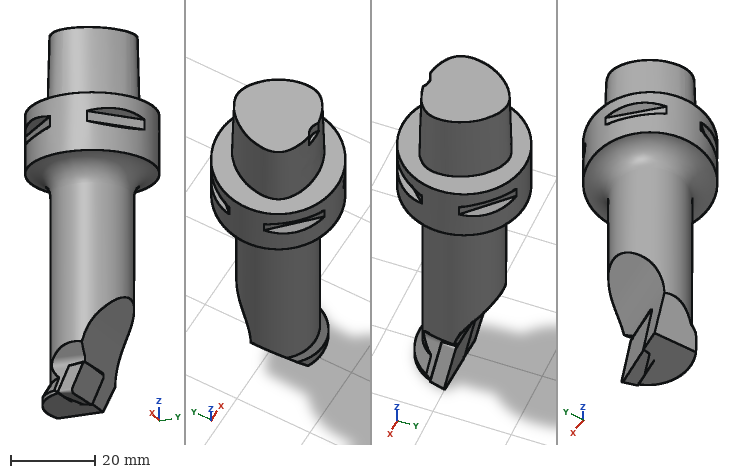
import cadquery as cq
import math


TENON_LENGTH = 19.0
TENON_MEAN_RADIUS = 11.0
LOBE_COUNT = 3
LOBE_PITCH = 360 / LOBE_COUNT
LOBE_HEIGHT = 0.7
TENON_TAPER = 1 / 40
LOBE_HALF_ANGLE = 23.0
SPLINE_STEPS = 6

KEY_SLOT_RADIUS = 3.7
KEY_SLOT_DEPTH = 3.3
KEY_SLOT_BOTTOM_Y = -8.9

COLLAR_RADIUS = 16.0
COLLAR_HEIGHT = 14.7
GROOVE_COUNT = 4
GROOVE_CENTER_Z = -6.0
GROOVE_FLOOR_DISTANCE = 14.15
GROOVE_FLOOR_WIDTH = 2.5
GROOVE_WALL_ANGLE = 30.0

SHANK_RADIUS = 10.0
BLEND_RADIUS = COLLAR_RADIUS - SHANK_RADIUS

FLARE_TOP_Z = -69.0
FLARE_ANGLE = 30.0
HEAD_RADIUS = 11.5
HEAD_OFFSET_X = 1.0

TIP_X = 13.0
TIP_Z = -75.0
RAKE_SLOPE_X = 0.068
RAKE_SLOPE_Z = 0.049

INSERT_ANGLE = 55.0
INSERT_INSCRIBED_DIAMETER = 9.525
INSERT_THICKNESS = 3.97
NOSE_RADIUS = 0.8
CLEARANCE_ANGLE = 7.0
END_EDGE_ANGLE = 3.0
SIDE_EDGE_ANGLE = END_EDGE_ANGLE + INSERT_ANGLE

CHIP_FLAT_LENGTH = 10.0
CHIP_ARC_RADIUS = 20.0
CHIP_RUNOUT_ANGLE = 36.0

NOTCH_ROOT_RADIUS = 2.2
NOTCH_WALL_ANGLE = 45.0
NOTCH_TOP_Z = -60.9
FLANK_INSET = 0.9

BEVEL_ANGLE = 35.0
BEVEL_TOP_Z = -65.5
END_FACE_Z = -74.15

REACH = 40.0


def turned(length, degrees):
    """The vector of the given length at an angle from a plane's local X."""
    return cq.Vector(length * math.cos(math.radians(degrees)), length * math.sin(math.radians(degrees)))


RAKE_U = cq.Vector(-1, RAKE_SLOPE_X, 0).normalized()
RAKE_NORMAL = cq.Vector(RAKE_SLOPE_X, 1, -RAKE_SLOPE_Z).normalized()
RAKE_V = RAKE_NORMAL.cross(RAKE_U)
TIP = cq.Vector(TIP_X, 0, TIP_Z)
RAKE_PLANE = cq.Plane(TIP, RAKE_U, RAKE_NORMAL)
CHIP_PLANE = cq.Plane(TIP, RAKE_V, RAKE_U)
NOSE_CENTER = cq.Vector(NOSE_RADIUS, NOSE_RADIUS)


def tenon_point(mean_radius, z, degrees):
    """The outline point whose normal is turned by the given angle from the +Y lobe."""
    angle = math.radians(degrees)
    support = mean_radius + LOBE_HEIGHT * math.cos(LOBE_COUNT * angle)
    support_rate = -LOBE_COUNT * LOBE_HEIGHT * math.sin(LOBE_COUNT * angle)
    x = -support * math.sin(angle) - support_rate * math.cos(angle)
    y = support * math.cos(angle) - support_rate * math.sin(angle)
    return cq.Vector(x, y, z)


def tenon_outline(mean_radius, z):
    """Closed outline of constant width, with an edge for each lobe and each flank."""
    edges = []
    for i in range(LOBE_COUNT):
        lobe = i * LOBE_PITCH
        ends = (lobe - LOBE_HALF_ANGLE, lobe + LOBE_HALF_ANGLE, lobe + LOBE_PITCH - LOBE_HALF_ANGLE)
        for start, end in zip(ends, ends[1:]):
            step = (end - start) / SPLINE_STEPS
            points = [tenon_point(mean_radius, z, start + n * step) for n in range(SPLINE_STEPS + 1)]
            directions = [turned(1, start + 180), turned(1, end + 180)]
            edges.append(cq.Edge.makeSpline(points, tangents=directions))
    return cq.Wire.assembleEdges(edges)


def make_tenon():
    top_radius = TENON_MEAN_RADIUS - TENON_TAPER * TENON_LENGTH
    base = tenon_outline(TENON_MEAN_RADIUS, 0)
    top = tenon_outline(top_radius, TENON_LENGTH)
    tenon = cq.Workplane(cq.Solid.makeLoft([base, top], True))
    key_slot = (
        cq.Workplane("XY", origin=(0, KEY_SLOT_BOTTOM_Y - KEY_SLOT_RADIUS, TENON_LENGTH))
        .circle(KEY_SLOT_RADIUS)
        .extrude(-KEY_SLOT_DEPTH)
    )
    return tenon.cut(key_slot)


def make_turned_body():
    """Collar, quarter-round blend, shank and flared head."""
    blend_end_z = -COLLAR_HEIGHT - BLEND_RADIUS
    blend_middle = cq.Vector(COLLAR_RADIUS, blend_end_z) + turned(BLEND_RADIUS, 135)
    bar = (
        cq.Workplane("XZ")
        .lineTo(COLLAR_RADIUS, 0)
        .lineTo(COLLAR_RADIUS, -COLLAR_HEIGHT)
        .threePointArc(blend_middle.toTuple()[:2], (SHANK_RADIUS, blend_end_z))
        .lineTo(SHANK_RADIUS, TIP_Z)
        .lineTo(0, TIP_Z)
        .close()
        .revolve(360, (0, 0), (0, 1))
    )
    flare_height = FLARE_TOP_Z - TIP_Z
    flare = (
        cq.Workplane("XY", origin=(0, 0, FLARE_TOP_Z))
        .circle(SHANK_RADIUS)
        .extrude(-flare_height, taper=-FLARE_ANGLE)
    )
    head = (
        cq.Workplane("XY", origin=(HEAD_OFFSET_X, 0, FLARE_TOP_Z))
        .circle(HEAD_RADIUS)
        .extrude(-flare_height)
    )
    return bar.union(flare.intersect(head))


def make_gripper_groove(azimuth):
    """Straight trapezoidal groove that crosses the collar's rim at the given azimuth."""
    depth = COLLAR_RADIUS - GROOVE_FLOOR_DISTANCE
    floor_half = GROOVE_FLOOR_WIDTH / 2
    rim_half = floor_half + depth * math.tan(math.radians(GROOVE_WALL_ANGLE))
    return (
        cq.Workplane("XZ", origin=(0, 0, GROOVE_CENTER_Z))
        .moveTo(GROOVE_FLOOR_DISTANCE, -floor_half)
        .lineTo(COLLAR_RADIUS, -rim_half)
        .lineTo(COLLAR_RADIUS, rim_half)
        .lineTo(GROOVE_FLOOR_DISTANCE, floor_half)
        .close()
        .extrude(COLLAR_RADIUS, both=True)
        .rotate((0, 0, 0), (0, 0, 1), azimuth)
    )


def make_chip_flat_cutter():
    """Everything above the rake plane, up to an arc and a slope that run out of the shank."""
    arc_start = cq.Vector(CHIP_FLAT_LENGTH, 0)
    arc_center = arc_start + cq.Vector(0, CHIP_ARC_RADIUS)
    arc_middle = arc_center + turned(CHIP_ARC_RADIUS, CHIP_RUNOUT_ANGLE / 2 - 90)
    arc_end = arc_center + turned(CHIP_ARC_RADIUS, CHIP_RUNOUT_ANGLE - 90)
    slope_end = arc_end + turned(REACH / 2, CHIP_RUNOUT_ANGLE)
    return (
        cq.Workplane(CHIP_PLANE)
        .moveTo(-REACH, 0)
        .lineTo(arc_start.x, arc_start.y)
        .threePointArc(arc_middle.toTuple()[:2], arc_end.toTuple()[:2])
        .lineTo(slope_end.x, slope_end.y)
        .lineTo(-REACH, slope_end.y)
        .close()
        .extrude(REACH, both=True)
    )


def make_notch_cutter():
    """V-notch with a rounded root whose lower wall is the flank beside the insert."""
    flank = turned(1, SIDE_EDGE_ANGLE)
    wall = turned(1, -NOTCH_WALL_ANGLE)
    flank_normal = turned(1, SIDE_EDGE_ANGLE + 90)
    wall_normal = turned(1, -NOTCH_WALL_ANGLE - 90)
    flank_point = NOSE_CENTER + flank_normal * (NOSE_RADIUS - FLANK_INSET + NOTCH_ROOT_RADIUS)
    wall_point = cq.Vector(TIP_X - SHANK_RADIUS, NOTCH_TOP_Z - TIP_Z) + wall_normal * NOTCH_ROOT_RADIUS
    along_flank = (wall_point - flank_point).cross(wall).z / flank.cross(wall).z
    root_center = flank_point + flank * along_flank
    corners = (root_center, root_center - flank * REACH, root_center - wall * REACH)
    return (
        cq.Workplane(RAKE_PLANE)
        .polyline([corner.toTuple()[:2] for corner in corners])
        .close()
        .offset2D(NOTCH_ROOT_RADIUS)
        .extrude(REACH, both=True)
    )


def make_insert():
    """Rhombic insert with round corners and relieved sides, its top on the rake plane."""
    side = (INSERT_INSCRIBED_DIAMETER - 2 * NOSE_RADIUS) / math.sin(math.radians(INSERT_ANGLE))
    end_corner = NOSE_CENTER + turned(side, END_EDGE_ANGLE)
    side_corner = NOSE_CENTER + turned(side, SIDE_EDGE_ANGLE)
    far_corner = end_corner + turned(side, SIDE_EDGE_ANGLE)
    corner_centers = (NOSE_CENTER, end_corner, far_corner, side_corner)
    return (
        cq.Workplane(RAKE_PLANE)
        .polyline([center.toTuple()[:2] for center in corner_centers])
        .close()
        .offset2D(NOSE_RADIUS)
        .extrude(-INSERT_THICKNESS, taper=CLEARANCE_ANGLE)
    )


def make_end_cutter():
    """Everything below the flat end face and outside the bevel at its -X end."""
    bevel_width = (BEVEL_TOP_Z - END_FACE_Z) * math.tan(math.radians(BEVEL_ANGLE))
    return (
        cq.Workplane("XZ")
        .moveTo(-SHANK_RADIUS, BEVEL_TOP_Z)
        .lineTo(bevel_width - SHANK_RADIUS, END_FACE_Z)
        .lineTo(REACH, END_FACE_Z)
        .lineTo(REACH, TIP_Z - REACH)
        .lineTo(-REACH, TIP_Z - REACH)
        .lineTo(-REACH, BEVEL_TOP_Z)
        .close()
        .extrude(REACH, both=True)
    )


def make_holder(seated_insert):
    """The whole bar, with a seat that fits the given insert."""
    holder = make_turned_body().union(make_tenon())
    for i in range(GROOVE_COUNT):
        holder = holder.cut(make_gripper_groove((i + 0.5) * 360 / GROOVE_COUNT))
    for cutter in (make_chip_flat_cutter(), make_notch_cutter(), make_end_cutter()):
        holder = holder.cut(cutter)
    return holder.cut(seated_insert)


insert = make_insert()
holder = make_holder(insert)

result = cq.Compound.makeCompound([holder.val(), insert.val()])